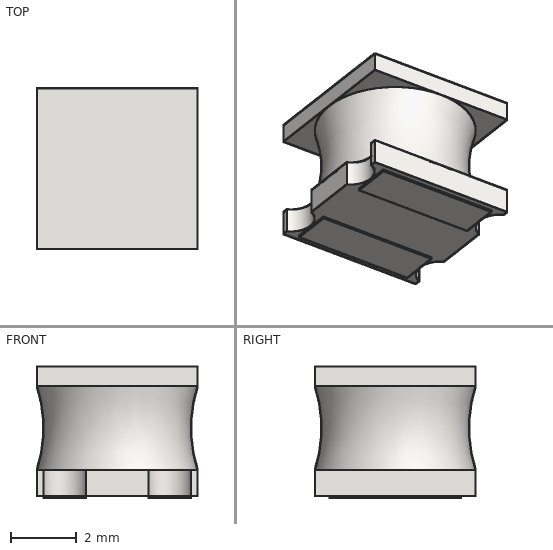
import cadquery as cq

side = 4.9
pad_thickness = 0.05
base_thickness = 0.8
core_height = 2.55
top_thickness = 0.6

core_end_radius = side / 2
core_waist_radius = 2.25

notch_offset = 1.6
notch_width = 1.3
notch_depth = 0.42
pad_length = 4.0

base_bottom = pad_thickness
base_top = base_bottom + base_thickness
core_top = base_top + core_height


def square_plate(bottom, thickness):
    """Square flange centred on the Z axis."""
    return cq.Workplane("XY").workplane(offset=bottom).rect(side, side).extrude(thickness)


def waisted_core():
    """Round core whose side is a concave arc between the two flanges."""
    return (
        cq.Workplane("XZ")
        .moveTo(0, base_top)
        .lineTo(core_end_radius, base_top)
        .threePointArc(
            (core_waist_radius, base_top + core_height / 2),
            (core_end_radius, core_top),
        )
        .lineTo(0, core_top)
        .close()
        .revolve(360, (0, 0, 0), (0, 1, 0))
    )


def edge_notch(x_center, y_sign):
    """Arc-shaped cutter opening on the +Y or -Y edge of the base."""
    y_edge = y_sign * side / 2
    return (
        cq.Workplane("XY")
        .workplane(offset=base_bottom)
        .moveTo(x_center - notch_width / 2, y_edge)
        .threePointArc(
            (x_center, y_edge - y_sign * notch_depth),
            (x_center + notch_width / 2, y_edge),
        )
        .close()
        .extrude(base_thickness)
    )


def contact_pad(x_center):
    """Thin strip under the base, running from one notch to the opposite one."""
    return cq.Workplane("XY").center(x_center, 0).rect(notch_width, pad_length).extrude(pad_thickness)


base = square_plate(base_bottom, base_thickness)
for x_center in (-notch_offset, notch_offset):
    for y_sign in (-1, 1):
        base = base.cut(edge_notch(x_center, y_sign))
    base = base.union(contact_pad(x_center))

result = base.union(waisted_core()).union(square_plate(core_top, top_thickness))